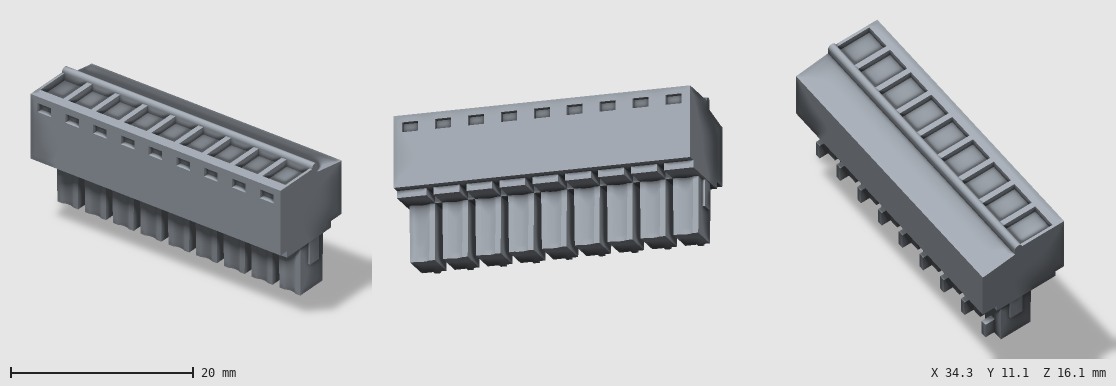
import cadquery as cq

POLES = 9
PITCH = 3.8
LENGTH = 34.3
FIRST_POLE_X = (LENGTH - (POLES - 1) * PITCH) / 2

DEPTH = 11.1
TOTAL_HEIGHT = 16.1
POST_HEIGHT = 6.5
STEP_TOP_Z = 7.35
BASE_FRONT_Y = 1.15
BASE_BACK_Y = 9.2
TOP_Z = 15.6
RIDGE_FRONT_Y = 5.75
RIDGE_BACK_Y = 6.72
RIDGE_RADIUS = (RIDGE_BACK_Y - RIDGE_FRONT_Y) / 2
RIDGE_SPRING_Z = TOTAL_HEIGHT - RIDGE_RADIUS
SLOPE_TOP_Z = 14.8
BACK_TOP_Z = 14.15
BACK_LEDGE = 0.4

POCKET_WIDTH = 3.15
POCKET_FRONT_Y = 1.35
POCKET_DEPTH = 0.93

WINDOW_WIDTH = 1.85
WINDOW_BOTTOM_Z = 13.65
WINDOW_HEIGHT = 1.13
WINDOW_DEPTH = 0.7

POST_WIDTH = 3.0
POST_FRONT_Y = 4.2
POST_BACK_Y = 8.33
POST_DRAFT = 0.6
GROOVE_WIDTH = 1.75
GROOVE_DEPTH = 0.27
TOOTH_WIDTH = 0.7
TOOTH_BACK_Y = 9.55
TOOTH_BOTTOM_Z = 0.25
TOOTH_TOP_Z = 2.55

KEY_FRONT_Y = 5.6
KEY_BACK_Y = 7.2
KEY_BOTTOM_Z = 3.43
KEY_INSET = 0.15

POLE_XS = [FIRST_POLE_X + i * PITCH for i in range(POLES)]
POST_MID_Y = (POST_FRONT_Y + POST_BACK_Y) / 2


def box(x0, x1, y0, y1, z0, z1):
    """Axis-aligned block between two opposite corners."""
    return cq.Workplane("XY").box(x1 - x0, y1 - y0, z1 - z0, centered=False).translate((x0, y0, z0))


def make_block():
    """Housing cross-section with its rounded ridge, swept along X."""
    return (
        cq.Workplane("YZ")
        .moveTo(BASE_FRONT_Y, POST_HEIGHT)
        .lineTo(BASE_FRONT_Y, STEP_TOP_Z)
        .lineTo(0, STEP_TOP_Z)
        .lineTo(0, TOP_Z)
        .lineTo(RIDGE_FRONT_Y, TOP_Z)
        .lineTo(RIDGE_FRONT_Y, RIDGE_SPRING_Z)
        .threePointArc((RIDGE_FRONT_Y + RIDGE_RADIUS, TOTAL_HEIGHT), (RIDGE_BACK_Y, RIDGE_SPRING_Z))
        .lineTo(RIDGE_BACK_Y, SLOPE_TOP_Z)
        .lineTo(DEPTH - BACK_LEDGE, BACK_TOP_Z)
        .lineTo(DEPTH, BACK_TOP_Z)
        .lineTo(DEPTH, STEP_TOP_Z)
        .lineTo(BASE_BACK_Y, STEP_TOP_Z)
        .lineTo(BASE_BACK_Y, POST_HEIGHT)
        .close()
        .extrude(LENGTH)
    )


def make_pocket(x):
    """Rectangular recess in the top, reaching back to the ridge."""
    half = POCKET_WIDTH / 2
    return box(x - half, x + half, POCKET_FRONT_Y, RIDGE_FRONT_Y, TOP_Z - POCKET_DEPTH, TOP_Z)


def make_window(x):
    """Shallow rectangular recess in the front face."""
    half = WINDOW_WIDTH / 2
    return box(x - half, x + half, 0, WINDOW_DEPTH, WINDOW_BOTTOM_Z, WINDOW_BOTTOM_Z + WINDOW_HEIGHT)


def make_base_notch(x):
    """Notch in the front of the base, filling the gap between the posts at x and x + PITCH."""
    half = POST_WIDTH / 2
    return box(x + half, x + PITCH - half, BASE_FRONT_Y, POST_FRONT_Y, POST_HEIGHT, STEP_TOP_Z)


def make_housing():
    housing = make_block()
    for x in POLE_XS:
        housing = housing.cut(make_pocket(x)).cut(make_window(x))
    for x in POLE_XS[:-1]:
        housing = housing.cut(make_base_notch(x))
    return housing


def make_groove(x):
    """Upright cylinder that hollows the front face of a post."""
    radius = ((GROOVE_WIDTH / 2) ** 2 + GROOVE_DEPTH**2) / (2 * GROOVE_DEPTH)
    axis_y = POST_FRONT_Y + GROOVE_DEPTH - radius
    return cq.Workplane("XY").center(x, axis_y).circle(radius).extrude(POST_HEIGHT)


def make_post(x):
    """Drafted plug post with a latching tooth at the back and a groove at the front."""
    post = (
        cq.Workplane("XY", origin=(x, POST_MID_Y, POST_HEIGHT))
        .rect(POST_WIDTH, POST_BACK_Y - POST_FRONT_Y)
        .extrude(-POST_HEIGHT, taper=POST_DRAFT)
    )
    half = TOOTH_WIDTH / 2
    tooth = box(x - half, x + half, POST_MID_Y, TOOTH_BACK_Y, TOOTH_BOTTOM_Z, TOOTH_TOP_Z)
    return post.union(tooth).cut(make_groove(x))


def make_key(outer_x, post_x):
    """Rib that runs from the end of the row into the middle of an end post."""
    x0 = min(outer_x, post_x)
    x1 = max(outer_x, post_x)
    return box(x0, x1, KEY_FRONT_Y, KEY_BACK_Y, KEY_BOTTOM_Z, POST_HEIGHT)


housing = make_housing()
posts = [make_post(x) for x in POLE_XS]
posts[0] = posts[0].union(make_key(KEY_INSET, POLE_XS[0]))
posts[-1] = posts[-1].union(make_key(LENGTH - KEY_INSET, POLE_XS[-1]))

result = cq.Compound.makeCompound([housing.val(), *[post.val() for post in posts]])